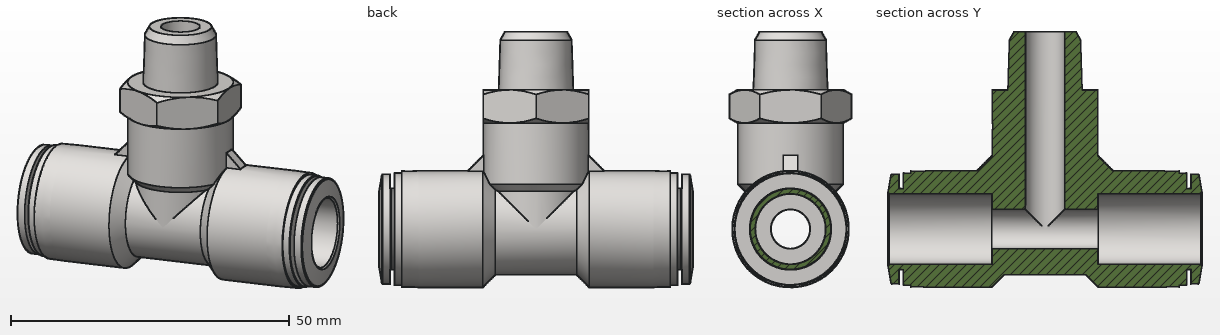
import cadquery as cq
import math

run_length = 56.5
end_x = run_length / 2
body_radius = 10.5
waist_radius = 8.25
waist_half_length = 7.3
shoulder_x = waist_half_length + body_radius - waist_radius
taper_start_x = 21.1
taper_end_x = 24.1
taper_end_radius = 10.45
cap_radius = 10.1
cap_end_radius = 20.0 / 2
cap_end_x = 25.5
cap_chamfer = cap_radius - cap_end_radius

neck_radius = 14.6 / 2
neck_step_radius = 7.35
neck_step_x = 25.95
flange_radius = 19.8 / 2
flange_inner_x = 26.2
flange_outer_x = 27.6
face_rim_radius = 9.65
face_rim_x = 27.75

passage_radius = 7.0 / 2
socket_radius = 12.6 / 2
socket_mouth_radius = 6.6
socket_mouth_depth = socket_mouth_radius - socket_radius
socket_bottom_x = shoulder_x

stem_radius = 19.0 / 2
stem_chamfer_z = 8.1
stem_neck_z = stem_chamfer_z - (stem_radius - waist_radius)
hex_bottom_z = 19.05
hex_top_z = 25.05
hex_across_flats = 19.05
hex_corner_radius = hex_across_flats / 2 / math.cos(math.pi / 6)
hex_chamfer_height = 0.85
thread_base_radius = 6.7
thread_end_radius = 6.45
thread_end_z = 33.95
tip_radius = 5.6
top_z = 46.0 - body_radius

rib_width = 2.6
rib_leg = 2.7


def revolve_about_x(profile):
    """Turn an (x, radius) outline about the X axis."""
    return cq.Workplane("XY").polyline(profile).close().revolve(360, (0, 0, 0), (1, 0, 0))


def revolve_about_z(profile):
    """Turn a (radius, z) outline about the Z axis."""
    return cq.Workplane("XZ").polyline(profile).close().revolve(360, (0, 0, 0), (0, 1, 0))


def mirrored(half):
    """Join a half with its reflection in the YZ plane."""
    return half.union(half.mirror("YZ"))


def make_run():
    half = revolve_about_x([
        (0, 0),
        (0, waist_radius),
        (waist_half_length, waist_radius),
        (shoulder_x, body_radius),
        (taper_start_x, body_radius),
        (taper_end_x, taper_end_radius),
        (taper_end_x, cap_radius),
        (cap_end_x - cap_chamfer, cap_radius),
        (cap_end_x, cap_end_radius),
        (cap_end_x, neck_step_radius),
        (neck_step_x, neck_step_radius),
        (neck_step_x, neck_radius),
        (flange_inner_x, neck_radius),
        (flange_inner_x, flange_radius),
        (flange_outer_x, flange_radius),
        (face_rim_x, face_rim_radius),
        (end_x, socket_mouth_radius),
        (end_x, 0),
    ])
    return mirrored(half)


def make_stem():
    return revolve_about_z([
        (0, 0),
        (waist_radius, 0),
        (waist_radius, stem_neck_z),
        (stem_radius, stem_chamfer_z),
        (stem_radius, hex_top_z),
        (thread_base_radius, hex_top_z),
        (thread_end_radius, thread_end_z),
        (tip_radius, top_z),
        (0, top_z),
    ])


def make_hex():
    """Hexagon with corners on the Y axis, its corners trimmed by cones at both ends."""
    prism = (
        cq.Workplane("XY", origin=(0, 0, hex_bottom_z))
        .polygon(6, 2 * hex_corner_radius)
        .extrude(hex_top_z - hex_bottom_z)
        .rotate((0, 0, 0), (0, 0, 1), 30)
    )
    trim = revolve_about_z([
        (0, hex_bottom_z),
        (stem_radius, hex_bottom_z),
        (hex_corner_radius, hex_bottom_z + hex_chamfer_height),
        (hex_corner_radius, hex_top_z - hex_chamfer_height),
        (stem_radius, hex_top_z),
        (0, hex_top_z),
    ])
    return prism.intersect(trim)


def make_ribs():
    """45-degree ribs whose roots are buried in the stem and the run."""
    rib = (
        cq.Workplane("XZ")
        .polyline([
            (waist_half_length, waist_radius),
            (stem_radius + rib_leg, waist_radius),
            (stem_radius + rib_leg, body_radius),
            (stem_radius, body_radius + rib_leg),
            (waist_half_length, body_radius + rib_leg),
        ])
        .close()
        .extrude(rib_width / 2, both=True)
    )
    return mirrored(rib)


def make_bores():
    half = revolve_about_x([
        (0, 0),
        (0, passage_radius),
        (socket_bottom_x, passage_radius),
        (socket_bottom_x, socket_radius),
        (end_x - socket_mouth_depth, socket_radius),
        (end_x, socket_mouth_radius),
        (end_x, 0),
    ])
    branch_passage = cq.Workplane("XY").circle(passage_radius).extrude(top_z)
    return mirrored(half).union(branch_passage)


outside = make_run().union(make_stem()).union(make_hex()).union(make_ribs())
result = outside.cut(make_bores())